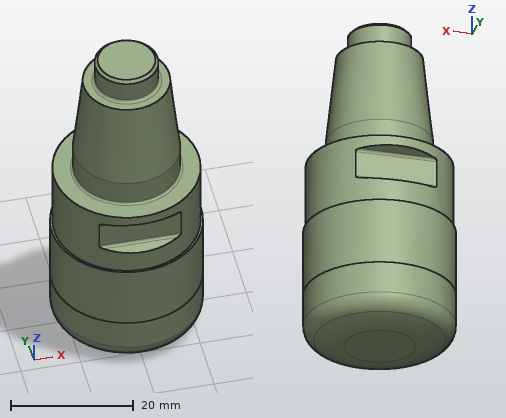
import cadquery as cq
import math

total_height = 56.3
barrel_radius = 25.0 / 2

cap_top = 9.1
corner_start = 3.7
corner_radius = 2.9
crown_angle = math.radians(24)

barrel_top = 20.5
collar_radius = 24.2 / 2
collar_top = 32.4
neck_radius = 8.8
neck_base_fillet = 0.4
neck_taper_start = 36.95
neck_top = 51.85
neck_top_radius = 7.15
pilot_radius = 10.4 / 2
pilot_base_fillet = 0.5
pilot_edge_chamfer = 0.5

slot_center_height = 27.55
slot_mouth_width = 6.3
slot_floor_distance = 9.95
slot_wall_slope = math.radians(15)
slot_floor_fillet = 0.5


def arc_point(center_r, center_z, radius, angle):
    """Point on an arc, with the angle measured from straight down."""
    return (center_r + radius * math.sin(angle), center_z - radius * math.cos(angle))


def make_cap():
    """Cylinder whose lower end is a corner arc tangent to a flat-centered crown."""
    corner_center_r = barrel_radius - corner_radius
    crown_end = arc_point(corner_center_r, corner_start, corner_radius, crown_angle)
    crown_radius = crown_end[1] / (1 - math.cos(crown_angle))
    flat_radius = crown_end[0] - crown_radius * math.sin(crown_angle)
    crown_middle = arc_point(flat_radius, crown_radius, crown_radius, crown_angle / 2)
    corner_middle_angle = (crown_angle + math.pi / 2) / 2
    corner_middle = arc_point(corner_center_r, corner_start, corner_radius, corner_middle_angle)
    return (
        cq.Workplane("XZ")
        .lineTo(flat_radius, 0)
        .threePointArc(crown_middle, crown_end)
        .threePointArc(corner_middle, (barrel_radius, corner_start))
        .lineTo(barrel_radius, cap_top)
        .lineTo(0, cap_top)
        .close()
        .revolve(360, (0, 0), (0, 1))
    )


def make_turned_body():
    """Revolved barrel, collar, filleted neck and chamfered pilot."""
    return (
        cq.Workplane("XZ")
        .moveTo(0, cap_top)
        .lineTo(barrel_radius, cap_top)
        .lineTo(barrel_radius, barrel_top)
        .lineTo(collar_radius, barrel_top)
        .lineTo(collar_radius, collar_top)
        .lineTo(neck_radius + neck_base_fillet, collar_top)
        .radiusArc((neck_radius, collar_top + neck_base_fillet), neck_base_fillet)
        .lineTo(neck_radius, neck_taper_start)
        .lineTo(neck_top_radius, neck_top)
        .lineTo(pilot_radius + pilot_base_fillet, neck_top)
        .radiusArc((pilot_radius, neck_top + pilot_base_fillet), pilot_base_fillet)
        .lineTo(pilot_radius, total_height - pilot_edge_chamfer)
        .lineTo(pilot_radius - pilot_edge_chamfer, total_height)
        .lineTo(0, total_height)
        .close()
        .revolve(360, (0, 0), (0, 1))
    )


def make_slot_cutter(side):
    """Flared slot along X; side is -1 for the -Y face and 1 for the +Y face."""
    slot_depth = collar_radius - slot_floor_distance
    mouth_half = slot_mouth_width / 2
    floor_half = mouth_half - slot_depth * math.tan(slot_wall_slope)
    outer_distance = collar_radius + slot_depth
    outer_half = mouth_half + slot_depth * math.tan(slot_wall_slope)
    return (
        cq.Workplane("YZ")
        .polyline([
            (side * slot_floor_distance, slot_center_height - floor_half),
            (side * outer_distance, slot_center_height - outer_half),
            (side * outer_distance, slot_center_height + outer_half),
            (side * slot_floor_distance, slot_center_height + floor_half),
        ])
        .close()
        .extrude(collar_radius, both=True)
        .faces("<Y" if side > 0 else ">Y")
        .edges("|X")
        .fillet(slot_floor_fillet)
    )


def make_body():
    body = make_turned_body()
    for side in (-1, 1):
        body = body.cut(make_slot_cutter(side))
    return body


cap = make_cap()
body = make_body()

result = cq.Compound.makeCompound([cap.val(), *body.solids().vals()])